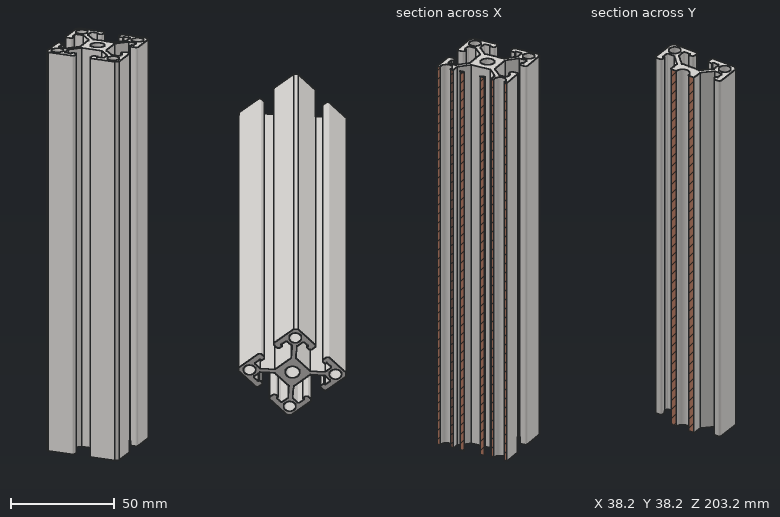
import cadquery as cq

length = 203.2
width = 38.2
corner_chamfer = 1.6

slot_opening = 8.1
cavity_width = 20.5
lip_depth = 4.0
lip_length = 2.6
wall_thickness = 3.0
lip_fillet = 1.2
corner_fillet = 0.6

core_width = 13.6
rib_thickness = 2.2

centre_hole_diameter = 7.0
corner_hole_diameter = 5.9
corner_hole_offset = 14.6

half_width = width / 2
half_opening = slot_opening / 2
half_cavity = cavity_width / 2
half_core = core_width / 2
rib_shift = rib_thickness / 2 ** 0.5


def make_slot():
    """T-slot cutter opening toward +Y, with sloped sides along the ribs."""
    lip_inner_y = half_width - lip_depth
    wall_inner_y = half_width - wall_thickness
    lip_end_x = half_opening + lip_length
    right_side = [
        (half_opening, half_width),
        (half_opening, lip_inner_y),
        (lip_end_x, lip_inner_y),
        (lip_end_x, wall_inner_y),
        (half_cavity, wall_inner_y),
        (half_cavity, half_cavity + rib_shift),
        (half_core - rib_shift, half_core),
    ]
    left_side = [(-x, y) for x, y in reversed(right_side)]
    slot = cq.Workplane("XY").polyline(right_side + left_side).close().extrude(length)
    cavity_corners = cq.selectors.BoxSelector(
        (-half_width, wall_inner_y - corner_fillet, 0),
        (half_width, wall_inner_y + corner_fillet, length),
    )
    outermost = slot.edges("|Z").edges(cavity_corners).edges(">X or <X")
    return outermost.fillet(corner_fillet)


def cut_top_slot(bar):
    """Cut the +Y slot and round the inner and outer edge of both lips."""
    select_margin = 0.2
    mouth_reach = half_opening + select_margin
    lip_reach = half_width - lip_depth - select_margin
    mouth_box = cq.selectors.BoxSelector(
        (-mouth_reach, lip_reach, 0),
        (mouth_reach, half_width + select_margin, length),
    )
    return bar.cut(make_slot()).edges("|Z").edges(mouth_box).fillet(lip_fillet)


bar = cq.Workplane("XY").rect(width, width).extrude(length)
bar = bar.edges("|Z").chamfer(corner_chamfer)

for side in range(4):
    bar = cut_top_slot(bar).rotate((0, 0, 0), (0, 0, 1), 90)

corner_spacing = 2 * corner_hole_offset
bar = bar.faces(">Z").workplane(origin=(0, 0, length)).hole(centre_hole_diameter)
result = (
    bar.faces(">Z")
    .workplane(origin=(0, 0, length))
    .rect(corner_spacing, corner_spacing, forConstruction=True)
    .vertices()
    .hole(corner_hole_diameter)
)